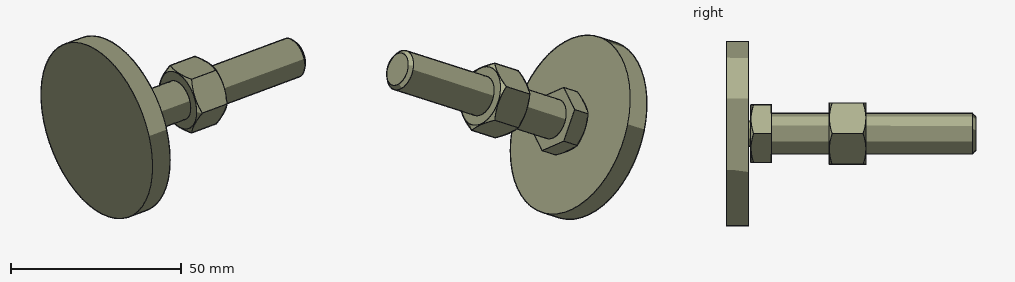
import cadquery as cq
import math

total_length = 73.0

pad_diameter = 54.0
pad_thickness = 6.5

neck_diameter = 7.45
neck_gap = 0.6
neck_socket_depth = 3.3

stud_diameter = 12.0
stud_end_chamfer = 1.1
stud_hex_flats = 16.9
stud_hex_thickness = 6.05

nut_flats = 18.0
nut_thickness = 10.9
nut_start = 30.0

hex_chamfer_angle = 30.0
hex_face_ratio = 0.98

hex_start = pad_thickness + neck_gap
shank_start = hex_start + stud_hex_thickness
neck_start = pad_thickness - neck_socket_depth


def cylinder(diameter, start, end):
    """Cylinder on the Y axis between two Y positions."""
    return cq.Workplane("XZ", origin=(0, start, 0)).circle(diameter / 2).extrude(start - end)


def hexagon(flats, start, thickness, chamfer_far_end):
    """Hexagonal prism with corners on X and conically chamfered corners."""
    across_corners = flats / math.cos(math.pi / 6)
    end = start + thickness
    prism = cq.Workplane("XZ", origin=(0, start, 0)).polygon(6, across_corners).extrude(-thickness)

    face_radius = flats * hex_face_ratio / 2
    corner_radius = across_corners / 2
    drop = (corner_radius - face_radius) * math.tan(math.radians(hex_chamfer_angle))

    profile = cq.Workplane("XY").moveTo(0, start).lineTo(face_radius, start)
    profile = profile.lineTo(corner_radius, start + drop)
    if chamfer_far_end:
        profile = profile.lineTo(corner_radius, end - drop).lineTo(face_radius, end)
    else:
        profile = profile.lineTo(corner_radius, end)
    envelope = profile.lineTo(0, end).close().revolve(360, (0, 0, 0), (0, 1, 0))
    return prism.intersect(envelope)


def make_pad():
    """Round foot pad with a blind socket for the neck of the stud."""
    disc = cylinder(pad_diameter, 0, pad_thickness)
    return disc.cut(cylinder(neck_diameter, neck_start, pad_thickness))


def make_stud():
    """Stud: neck, hexagon and shank in one piece."""
    neck = cylinder(neck_diameter, neck_start, hex_start)
    hex_collar = hexagon(stud_hex_flats, hex_start, stud_hex_thickness, chamfer_far_end=False)
    shank = cylinder(stud_diameter, shank_start, total_length)
    shank = shank.faces(">Y").chamfer(stud_end_chamfer)
    return neck.union(hex_collar).union(shank)


def make_nut():
    """Lock nut, chamfered at both ends, bored to fit the shank."""
    nut_end = nut_start + nut_thickness
    blank = hexagon(nut_flats, nut_start, nut_thickness, chamfer_far_end=True)
    return blank.cut(cylinder(stud_diameter, nut_start, nut_end))


pad = make_pad()
stud = make_stud()
nut = make_nut()

result = cq.Compound.makeCompound([pad.val(), stud.val(), nut.val()])